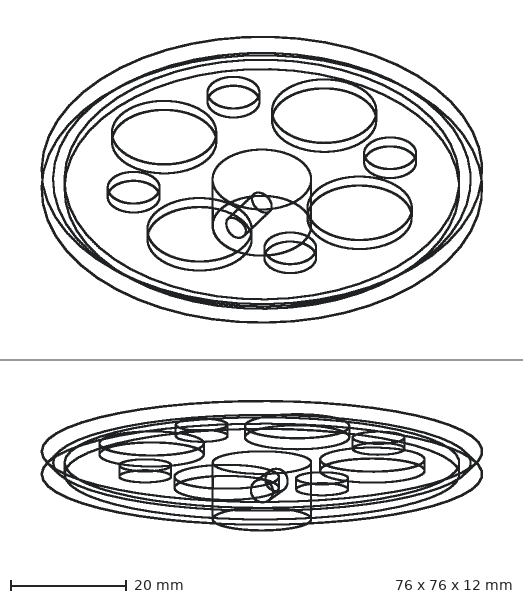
import cadquery as cq

disc_diameter = 76.0
disc_thickness = 4.0
groove_depth = 2.0

web_thickness = 2.0
rim_wall = 2.0

overall_height = 12.0
hub_diameter = 17.0
hub_height = overall_height - disc_thickness
screw_hole_diameter = 4.0
screw_hole_height = 5.0
screw_hole_depth = hub_diameter / 2

holes_per_ring = 4
large_hole_diameter = 18.0
large_hole_radius = 20.0
small_hole_diameter = 9.0
small_hole_radius = 22.65
diagonal_angle = 45


def make_disc():
    """Revolve the rim profile about Z, with the V-groove at mid-thickness."""
    rim_radius = disc_diameter / 2
    return (
        cq.Workplane("XZ")
        .moveTo(0, hub_height)
        .lineTo(rim_radius, hub_height)
        .lineTo(rim_radius - groove_depth, hub_height + disc_thickness / 2)
        .lineTo(rim_radius, overall_height)
        .lineTo(0, overall_height)
        .close()
        .revolve(360, (0, 0), (0, 1))
    )


def make_recess():
    recess_radius = disc_diameter / 2 - groove_depth - rim_wall
    recess_depth = disc_thickness - web_thickness
    return cq.Workplane("XY", origin=(0, 0, hub_height)).circle(recess_radius).extrude(recess_depth)


def make_hub():
    """Full-height cylinder, so that the hub crosses the recess and joins the web."""
    return cq.Workplane("XY").circle(hub_diameter / 2).extrude(overall_height)


def make_screw_hole():
    """Blind cylinder from the -Y side of the hub to its axis."""
    return (
        cq.Workplane("XZ", origin=(0, -hub_diameter / 2, 0))
        .center(0, screw_hole_height)
        .circle(screw_hole_diameter / 2)
        .extrude(-screw_hole_depth)
    )


def make_hole_ring(diameter, ring_radius, start_angle):
    return (
        cq.Workplane("XY", origin=(0, 0, hub_height))
        .polarArray(ring_radius, start_angle, 360, holes_per_ring)
        .circle(diameter / 2)
        .extrude(disc_thickness)
    )


result = make_disc().cut(make_recess()).union(make_hub())
result = result.cut(make_screw_hole())
result = result.cut(make_hole_ring(large_hole_diameter, large_hole_radius, 0))
result = result.cut(make_hole_ring(small_hole_diameter, small_hole_radius, diagonal_angle))